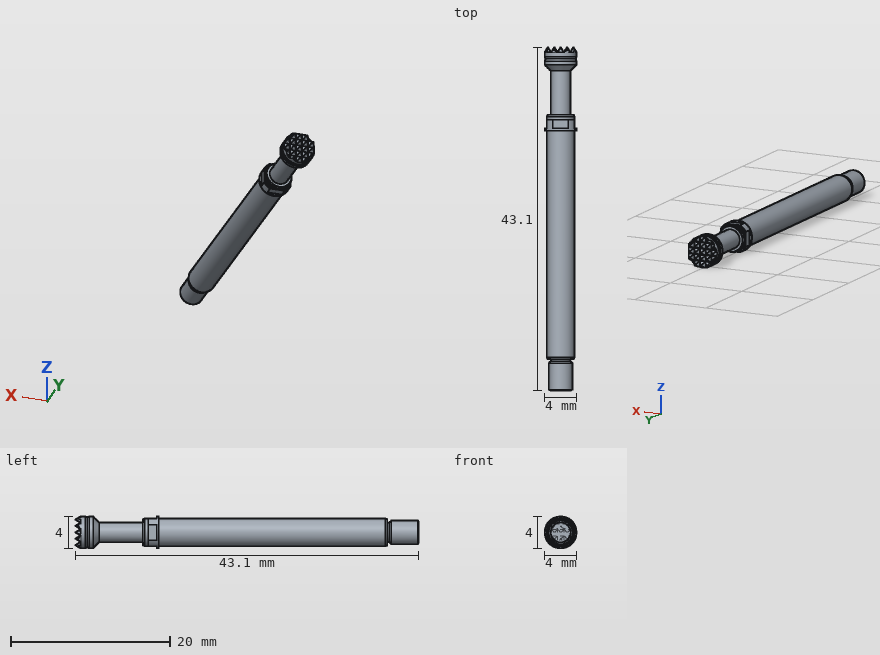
import cadquery as cq

total_length = 43.1

head_radius = 2.0
shaft_radius = 1.25
head_end = 2.24
cone_length = head_radius - shaft_radius

tooth_pitch = 0.8
tooth_depth = 0.66
cuts_per_direction = 6

head_groove_start = 1.23
head_groove_end = 1.76
head_groove_depth = 0.1

barrel_radius = 1.75
barrel_start = 8.48
barrel_end = 39.15
barrel_chamfer_length = 0.25
barrel_chamfer_depth = 0.12

ring_radius = 2.0
ring_start = 9.15
ring_end = 10.48
flat_end = 10.2

neck_radius = 1.25
neck_length = 0.25
neck_hollow = 0.03
tail_radius = 1.5
tail_chamfer_length = 0.15
tail_chamfer_depth = 0.25

cutter_size = 3 * head_radius


def make_body():
    """Revolve the half outline of the whole probe about the Y axis."""
    neck_end = barrel_end + neck_length
    neck_middle = (neck_radius - neck_hollow, -(barrel_end + neck_length / 2))
    front_outline = [
        (0, 0),
        (head_radius, 0),
        (head_radius, head_groove_start),
        (head_radius - head_groove_depth, (head_groove_start + head_groove_end) / 2),
        (head_radius, head_groove_end),
        (head_radius, head_end),
        (shaft_radius, head_end + cone_length),
        (shaft_radius, barrel_start),
        (barrel_radius - barrel_chamfer_depth, barrel_start),
        (barrel_radius, barrel_start + barrel_chamfer_length),
        (barrel_radius, ring_start),
        (ring_radius, ring_start),
        (ring_radius, ring_end),
        (barrel_radius, ring_end),
        (barrel_radius, barrel_end - barrel_chamfer_length),
        (barrel_radius - barrel_chamfer_depth, barrel_end),
        (neck_radius, barrel_end),
    ]
    tail_outline = [
        (neck_radius, neck_end),
        (tail_radius, neck_end + tail_radius - neck_radius),
        (tail_radius, total_length - tail_chamfer_length),
        (tail_radius - tail_chamfer_depth, total_length),
        (0, total_length),
    ]
    front_points = [(radius, -distance) for radius, distance in front_outline]
    tail_points = [(radius, -distance) for radius, distance in tail_outline]
    return (
        cq.Workplane("XY")
        .polyline(front_points)
        .threePointArc(neck_middle, tail_points[0])
        .polyline(tail_points[1:], includeCurrent=True)
        .close()
        .revolve(360, (0, 0), (0, 1))
    )


def cut_crown(body):
    """Cut crossed rows of V grooves into the head, leaving pointed pyramids.

    The four corners of the grid hold no whole pyramid and are cleared to the groove floor.
    """
    half_pitch = tooth_pitch / 2
    for index in range(cuts_per_direction):
        center = (index - (cuts_per_direction - 1) / 2) * tooth_pitch
        row = (
            cq.Workplane("XY")
            .polyline([(center - half_pitch, 0), (center, -tooth_depth), (center + half_pitch, 0)])
            .close()
            .extrude(cutter_size / 2, both=True)
        )
        body = body.cut(row)
        body = body.cut(row.rotate((0, 0, 0), (0, 1, 0), 90))

    corner_inner = (cuts_per_direction - 1) / 2 * tooth_pitch - tooth_pitch
    corner = cq.Workplane("XY").box(head_radius, tooth_depth, head_radius, centered=False)
    corner = corner.translate((corner_inner, -tooth_depth, corner_inner))
    for quarter in range(4):
        body = body.cut(corner.rotate((0, 0, 0), (0, 1, 0), 90 * quarter))
    return body


def cut_ring_flats(body):
    """Flatten the front of the press ring on its four sides."""
    flat_length = flat_end - ring_start
    block = cq.Workplane("XY").box(cutter_size, flat_length, cutter_size)
    core = cq.Workplane("XY").box(2 * barrel_radius, flat_length, 2 * barrel_radius)
    frame = block.cut(core).translate((0, -(ring_start + flat_end) / 2, 0))
    return body.cut(frame)


result = cut_ring_flats(cut_crown(make_body()))